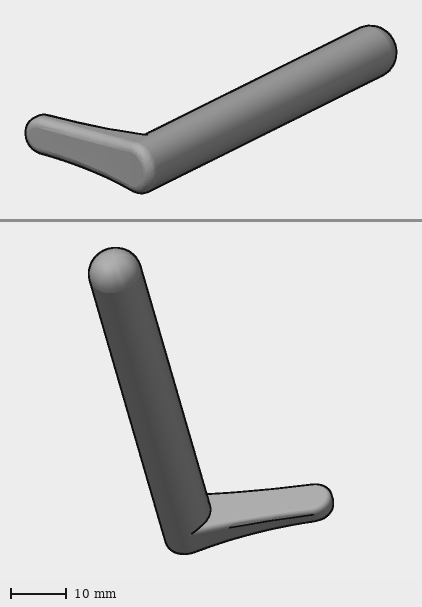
import cadquery as cq
import math

width = 31.5
rod_diameter = 9.5
rod_length = 69.9
rod_end_round = 4.0
tip_radius = 3.5
tip_thickness = 3.7
rod_end_thickness = 8.0
front_end_slope = 0.31
front_round = 1.55
back_round = 1.0
profile_overrun = 0.8

rod_radius = rod_diameter / 2
tip_x = rod_radius - width
tip_center_x = tip_x + tip_radius


def lever_outline():
    """Two round ends joined by hollow flanks, tangent to both ends."""
    flank_radius = (tip_center_x**2 + tip_radius**2 - rod_radius**2) / (2 * (rod_radius - tip_radius))
    flank_center_z = tip_radius + flank_radius
    flank_angle = math.atan2(-tip_center_x, flank_center_z)

    def flank_point(angle):
        return (
            tip_center_x + flank_radius * math.sin(angle),
            flank_center_z - flank_radius * math.cos(angle),
        )

    end_x, end_z = flank_point(flank_angle)
    middle_x, middle_z = flank_point(flank_angle / 2)
    return (
        cq.Workplane("XZ")
        .moveTo(tip_center_x, tip_radius)
        .threePointArc((middle_x, middle_z), (end_x, end_z))
        .threePointArc((rod_radius, 0), (end_x, -end_z))
        .threePointArc((middle_x, -middle_z), (tip_center_x, -tip_radius))
        .threePointArc((tip_x, 0), (tip_center_x, tip_radius))
        .close()
    )


def lever_side_profile():
    """Flat back and a front that curves away from it towards the rod."""

    start_x = tip_x - profile_overrun
    end_x = rod_radius + profile_overrun
    end_y = -rod_end_thickness - front_end_slope * profile_overrun
    return (
        cq.Workplane("XY", origin=(0, 0, -rod_radius))
        .moveTo(start_x, 0)
        .lineTo(start_x, -tip_thickness)
        .spline(
            [(end_x, end_y)],
            tangents=[(1, 0), (1, -front_end_slope)],
            includeCurrent=True,
        )
        .lineTo(end_x, 0)
        .close()
    )


def make_lever():
    blank = lever_outline().extrude(2 * rod_end_thickness)
    lever = blank.intersect(lever_side_profile().extrude(2 * rod_radius))
    lever = lever.faces(">Y").edges().fillet(back_round)
    return lever.faces("%EXTRUSION").edges().fillet(front_round)


def make_rod():
    overlap = back_round
    rod = cq.Workplane("XZ", origin=(0, -overlap, 0)).circle(rod_radius).extrude(-rod_length - overlap)
    return rod.faces(">Y").edges().fillet(rod_end_round)


result = make_lever().union(make_rod())